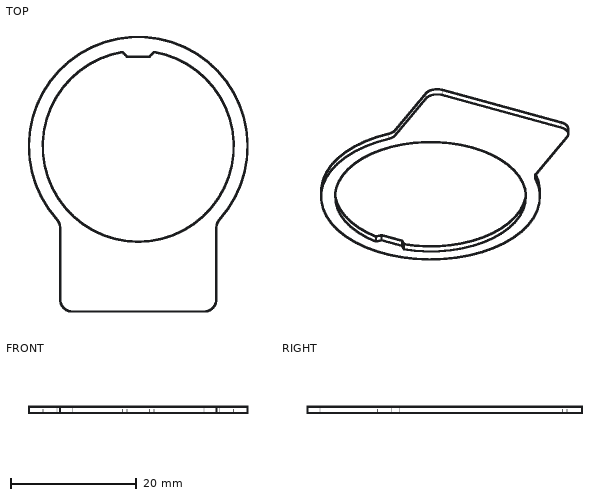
import cadquery as cq
import math

thickness = 1.02
ring_outer_radius = 17.5
ring_inner_radius = 15.25
tab_width = 25.0
tab_reach = 26.45
tab_corner_radius = 2.0
neck_fillet_radius = 2.0
key_tip_width = 3.6
key_root_width = 5.0
key_tip_reach = 14.3


def label_plate():
    """Disc with a rectangular tab, blended at the neck and rounded at the corners."""
    disc = cq.Workplane("XY").circle(ring_outer_radius).extrude(thickness)
    tab = (
        cq.Workplane("XY")
        .center(0, -tab_reach / 2)
        .rect(tab_width, tab_reach)
        .extrude(thickness)
    )
    plate = disc.union(tab)
    plate = plate.edges("|Z and <Y").fillet(tab_corner_radius)

    half_width = tab_width / 2
    neck_y = -math.sqrt(ring_outer_radius**2 - half_width**2)
    for side in (-1, 1):
        neck = cq.selectors.NearestToPointSelector((side * half_width, neck_y, thickness / 2))
        plate = plate.edges("|Z").edges(neck).fillet(neck_fillet_radius)
    return plate


def bore():
    """Round opening, interrupted by a tapered key at +Y."""
    half_root = key_root_width / 2
    half_tip = key_tip_width / 2
    root_y = math.sqrt(ring_inner_radius**2 - half_root**2)
    key = (
        cq.Workplane("XY")
        .moveTo(-half_root, root_y)
        .lineTo(-half_tip, key_tip_reach)
        .lineTo(half_tip, key_tip_reach)
        .lineTo(half_root, root_y)
        .lineTo(half_root, ring_outer_radius)
        .lineTo(-half_root, ring_outer_radius)
        .close()
        .extrude(thickness)
    )
    return cq.Workplane("XY").circle(ring_inner_radius).extrude(thickness).cut(key)


result = label_plate().cut(bore())